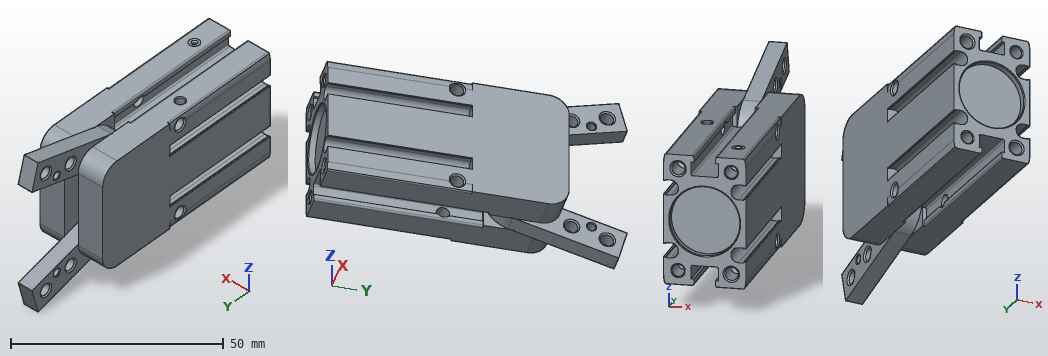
import cadquery as cq
import math

SIDES = (-1, 1)

TOTAL_LENGTH = 75.1
OPEN_HEIGHT = 45.5
BODY_WIDTH = 20.0
BODY_HEIGHT = 32.0
BODY_LENGTH = 58.9
FRONT_RADIUS = 5.0
HALF_WIDTH = BODY_WIDTH / 2
HALF_HEIGHT = BODY_HEIGHT / 2

PROFILE_LENGTH = 35.3
EDGE_ARC_RADIUS = 6.0
EDGE_ARC_HEIGHT = 1.9
EDGE_BLEND_HEIGHT = 0.2
EDGE_BLEND_WIDTH = 0.45
GROOVE_Z = 7.7
GROOVE_MOUTH = 3.3
GROOVE_LIP = 0.5
GROOVE_WIDTH = 3.7
GROOVE_DEPTH = 3.6

T_SLOT_LENGTH = 41.2
T_MOUTH_WIDTH = 5.25
T_MOUTH_DEPTH = 1.6
T_WIDTH = 6.6
T_DEPTH = 4.95
T_FLOOR_RADIUS = 0.45
T_MOUTH_RADIUS = 0.45

THREAD_DIAMETER = 3.2
THREAD_MOUTH = 4.0
DRILL_TIP_ANGLE = 118.0
CROSS_HOLE_Y = 31.6
CROSS_HOLE_Z = 13.45
REAR_HOLE_X = 6.45
REAR_HOLE_Z = 12.55
REAR_HOLE_DEPTH = 6.0
PLAIN_HOLE_DIAMETER = 3.0
PLAIN_HOLE_MOUTH = 3.45
RECESS_DIAMETER = 17.0
RECESS_MOUTH = 17.4
RECESS_DEPTH = 1.8
PORT_X = 6.0
PORT_Y = 27.25
PORT_DIAMETER = 2.5
PORT_MOUTH = 3.0
PORT_DEPTH = 3.0

NEEDLE_Y = 9.0
NEEDLE_DIAMETER = 3.0
NEEDLE_LENGTH = 3.0
SOCKET_DIAMETER = 0.8
SOCKET_MOUTH = 1.65
SOCKET_DEPTH = 1.5

FINGER_ANGLE = 15.0
FINGER_THICKNESS = 4.4
FINGER_WIDTH = 8.0
FINGER_HOLES = (4.0, 13.0)
PIN_HOLE_DIAMETER = 2.0
PIN_HOLE_MOUTH = 2.5
PIN_HOLE_EDGE_GAP = 2.0


def hole_tool(diameter, mouth, depth, tip=0.0):
    """Hole along -Z from the origin, with a 45 degree countersink and an optional cone at the bottom."""
    radius = diameter / 2
    sink = (mouth - diameter) / 2
    outline = cq.Workplane("XZ").lineTo(mouth / 2, 0).lineTo(radius, -sink).lineTo(radius, -depth)
    return outline.lineTo(0, -depth - tip).close().revolve(360, (0, 0, 0), (0, 1, 0))


def blind_hole(diameter, mouth, depth):
    """Drilled hole along -Z that ends in a drill-point cone."""
    tip = diameter / 2 / math.tan(math.radians(DRILL_TIP_ANGLE / 2))
    return hole_tool(diameter, mouth, depth, tip)


def through_hole(diameter, mouth, length):
    """Hole along X, centred on the origin and countersunk at both ends."""
    half_hole = hole_tool(diameter, mouth, length / 2).rotate((0, 0, 0), (0, 1, 0), 90)
    half_hole = half_hole.translate((length / 2, 0, 0))
    return half_hole.union(half_hole.mirror("YZ"))


def body_block():
    block = cq.Workplane("XY").box(BODY_WIDTH, BODY_LENGTH, BODY_HEIGHT, centered=(True, False, True))
    return block.edges("|X and >Y").fillet(FRONT_RADIUS)


def edge_cutter():
    """Waste outside the rounded +X, +Z long edge."""
    arc_start_z = HALF_HEIGHT - EDGE_BLEND_HEIGHT - EDGE_ARC_HEIGHT
    arc_end_x = HALF_WIDTH - EDGE_ARC_RADIUS + math.sqrt(EDGE_ARC_RADIUS**2 - EDGE_ARC_HEIGHT**2)
    outline = cq.Workplane("XZ").moveTo(HALF_WIDTH, HALF_HEIGHT).lineTo(HALF_WIDTH, arc_start_z)
    outline = outline.radiusArc((arc_end_x, HALF_HEIGHT - EDGE_BLEND_HEIGHT), -EDGE_ARC_RADIUS)
    blend_radius = (EDGE_BLEND_WIDTH**2 + EDGE_BLEND_HEIGHT**2) / (2 * EDGE_BLEND_HEIGHT)
    outline = outline.radiusArc((arc_end_x - EDGE_BLEND_WIDTH, HALF_HEIGHT), -blend_radius)
    return outline.close().extrude(-PROFILE_LENGTH)


def groove_cutter():
    """Sensor groove in the +X side: a narrow mouth over a wider channel with a round bottom."""
    channel_radius = GROOVE_WIDTH / 2
    lip_x = HALF_WIDTH - GROOVE_LIP
    arc_x = HALF_WIDTH - GROOVE_DEPTH + channel_radius
    mouth = cq.Workplane("XZ").center(HALF_WIDTH - GROOVE_LIP / 2, GROOVE_Z).rect(GROOVE_LIP, GROOVE_MOUTH)
    channel = cq.Workplane("XZ").moveTo(lip_x, GROOVE_Z + channel_radius)
    channel = channel.lineTo(arc_x, GROOVE_Z + channel_radius)
    channel = channel.threePointArc((HALF_WIDTH - GROOVE_DEPTH, GROOVE_Z), (arc_x, GROOVE_Z - channel_radius))
    channel = channel.lineTo(lip_x, GROOVE_Z - channel_radius).close()
    return channel.extrude(-PROFILE_LENGTH).union(mouth.extrude(-PROFILE_LENGTH))


def t_slot_cutter():
    """T-slot in the top face with a rounded mouth and rounded floor corners."""
    floor_z = HALF_HEIGHT - T_DEPTH
    wide_height = T_DEPTH - T_MOUTH_DEPTH
    wide = cq.Workplane("XY").box(T_WIDTH, T_SLOT_LENGTH, wide_height, centered=(True, False, False))
    wide = wide.edges("|Y and <Z").fillet(T_FLOOR_RADIUS).translate((0, 0, floor_z))
    half_mouth = T_MOUTH_WIDTH / 2
    mouth = cq.Workplane("XZ").moveTo(-half_mouth, HALF_HEIGHT - T_MOUTH_DEPTH)
    mouth = mouth.lineTo(half_mouth, HALF_HEIGHT - T_MOUTH_DEPTH)
    mouth = mouth.lineTo(half_mouth, HALF_HEIGHT - T_MOUTH_RADIUS)
    mouth = mouth.radiusArc((half_mouth + T_MOUTH_RADIUS, HALF_HEIGHT), T_MOUTH_RADIUS)
    mouth = mouth.lineTo(-half_mouth - T_MOUTH_RADIUS, HALF_HEIGHT)
    mouth = mouth.radiusArc((-half_mouth, HALF_HEIGHT - T_MOUTH_RADIUS), T_MOUTH_RADIUS)
    return wide.union(mouth.close().extrude(-T_SLOT_LENGTH))


def cut_long_profiles(body):
    """Cut the edges and grooves at all four corners and the T-slots in the top and bottom."""
    corner = edge_cutter().union(groove_cutter())
    corner_pair = corner.union(corner.mirror("YZ"))
    upper_half = corner_pair.union(t_slot_cutter())
    return body.cut(upper_half).cut(upper_half.mirror("XY"))


def cut_finger_slot(body):
    """Full-height slot, open at the front, that holds both fingers."""
    slot = cq.Workplane("XY").box(
        FINGER_THICKNESS, BODY_LENGTH - T_SLOT_LENGTH, BODY_HEIGHT, centered=(True, False, True)
    )
    return body.cut(slot.translate((0, T_SLOT_LENGTH, 0)))


def face_rearward(tool):
    """Turn a tool that points along -Z so that it enters the rear face along +Y."""
    return tool.rotate((0, 0, 0), (1, 0, 0), 90)


def cut_rear_face(body):
    """Round recess, and two threaded and two plain holes on opposite diagonals."""
    recess = hole_tool(RECESS_DIAMETER, RECESS_MOUTH, RECESS_DEPTH)
    threaded = blind_hole(THREAD_DIAMETER, THREAD_MOUTH, REAR_HOLE_DEPTH)
    plain = blind_hole(PLAIN_HOLE_DIAMETER, PLAIN_HOLE_MOUTH, REAR_HOLE_DEPTH)
    body = body.cut(face_rearward(recess))
    for side in SIDES:
        body = body.cut(face_rearward(threaded).translate((side * REAR_HOLE_X, 0, -side * REAR_HOLE_Z)))
        body = body.cut(face_rearward(plain).translate((side * REAR_HOLE_X, 0, side * REAR_HOLE_Z)))
    return body


def cut_cross_holes(body):
    hole = through_hole(THREAD_DIAMETER, THREAD_MOUTH, BODY_WIDTH)
    for side in SIDES:
        body = body.cut(hole.translate((0, CROSS_HOLE_Y, side * CROSS_HOLE_Z)))
    return body


def cut_top_holes(body):
    """Air port, and the straight hole that the needle screw fills."""
    port = blind_hole(PORT_DIAMETER, PORT_MOUTH, PORT_DEPTH).translate((-PORT_X, PORT_Y, HALF_HEIGHT))
    needle_hole = cq.Workplane("XY").circle(NEEDLE_DIAMETER / 2).extrude(-NEEDLE_LENGTH)
    return body.cut(port).cut(needle_hole.translate((PORT_X, NEEDLE_Y, HALF_HEIGHT)))


def make_body():
    body = cut_long_profiles(body_block())
    body = cut_finger_slot(body)
    body = cut_rear_face(body)
    body = cut_cross_holes(body)
    return cut_top_holes(body)


def make_needle():
    """Flush adjusting screw with a countersunk socket."""
    needle = cq.Workplane("XY").circle(NEEDLE_DIAMETER / 2).extrude(-NEEDLE_LENGTH)
    needle = needle.cut(hole_tool(SOCKET_DIAMETER, SOCKET_MOUTH, SOCKET_DEPTH))
    return needle.translate((PORT_X, NEEDLE_Y, HALF_HEIGHT))


def make_finger():
    """Upper finger: laid out along +Y with its inner tip corner at the origin, then tilted outward."""
    angle = math.radians(FINGER_ANGLE)
    tip_y = TOTAL_LENGTH
    tip_z = OPEN_HEIGHT / 2 - FINGER_WIDTH * math.cos(angle)
    heel_centre = -(tip_y - T_SLOT_LENGTH - FINGER_WIDTH) / math.cos(angle)
    arc_mid = FINGER_WIDTH * math.sqrt(0.5)
    outline = cq.Workplane("YZ").lineTo(0, FINGER_WIDTH).lineTo(heel_centre, FINGER_WIDTH)
    outline = outline.threePointArc((heel_centre - arc_mid, arc_mid), (heel_centre - FINGER_WIDTH, 0))
    finger = outline.close().extrude(FINGER_THICKNESS / 2, both=True)
    threaded = through_hole(THREAD_DIAMETER, THREAD_MOUTH, FINGER_THICKNESS)
    for distance in FINGER_HOLES:
        finger = finger.cut(threaded.translate((0, -distance, FINGER_WIDTH / 2)))
    pin_hole = through_hole(PIN_HOLE_DIAMETER, PIN_HOLE_MOUTH, FINGER_THICKNESS)
    pin_distance = sum(FINGER_HOLES) / len(FINGER_HOLES)
    finger = finger.cut(pin_hole.translate((0, -pin_distance, PIN_HOLE_EDGE_GAP)))
    return finger.rotate((0, 0, 0), (1, 0, 0), FINGER_ANGLE).translate((0, tip_y, tip_z))


def make_fingers():
    """The upper finger and its mirrored copy below."""
    fingers = []
    for side in SIDES:
        finger = make_finger()
        if side < 0:
            finger = finger.mirror("XY")
        fingers.append(finger.val())
    return fingers


body = make_body()
needle = make_needle()
fingers = make_fingers()

result = cq.Compound.makeCompound([body.solids().val(), needle.val(), *fingers])